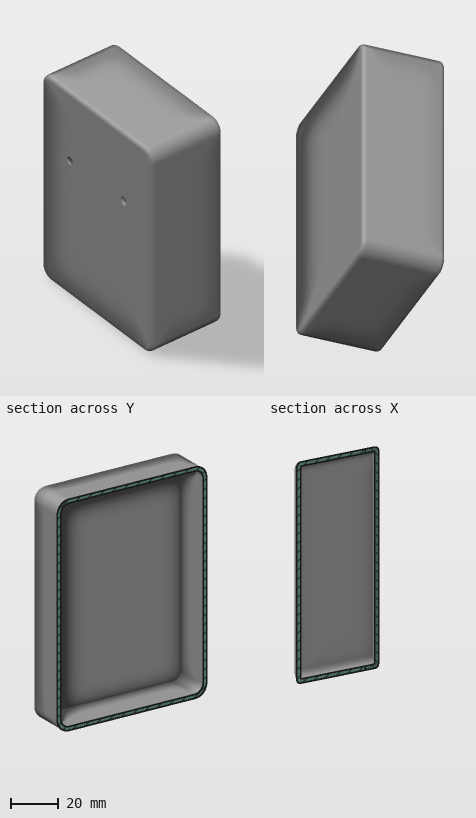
import cadquery as cq

WIDTH = 75.0
DEPTH = 37.5
HEIGHT = 105.0

WALL = 2.0
CORNER_RADIUS = 3 * WALL
EDGE_RADIUS = WALL
LID_DEPTH = 3 * WALL
HOUSING_DEPTH = DEPTH - LID_DEPTH

HOLE_DIAMETER = 4.0
HOLE_SPACING = 36.5
HOLE_HEIGHT = 17.2

FRONT_Y = -DEPTH / 2
LID_FRONT_Y = FRONT_Y + HOUSING_DEPTH


def rounded_block(front_y, depth, inset=0.0):
    """Block with rounded outline corners, inset from the case outline, running from front_y toward +Y."""
    return (
        cq.Workplane("XZ", origin=(0, front_y, 0))
        .rect(WIDTH - 2 * inset, HEIGHT - 2 * inset)
        .extrude(-depth)
        .edges("|Y")
        .fillet(CORNER_RADIUS - inset)
    )


def make_housing():
    """Front shell, open toward the lid, with two holes through its front wall."""
    outside = rounded_block(FRONT_Y, HOUSING_DEPTH).faces("<Y").edges().fillet(EDGE_RADIUS)
    cavity = rounded_block(FRONT_Y + WALL, HOUSING_DEPTH - WALL, inset=WALL)
    holes = (
        cq.Workplane("XZ", origin=(0, FRONT_Y, HOLE_HEIGHT))
        .pushPoints([(-HOLE_SPACING / 2, 0), (HOLE_SPACING / 2, 0)])
        .circle(HOLE_DIAMETER / 2)
        .extrude(-WALL)
    )
    return outside.cut(cavity).cut(holes)


def make_lid():
    """Back shell that closes the housing, open toward the front."""
    outside = rounded_block(LID_FRONT_Y, LID_DEPTH).faces(">Y").edges().fillet(EDGE_RADIUS)
    cavity = rounded_block(LID_FRONT_Y, LID_DEPTH - WALL, inset=WALL)
    return outside.cut(cavity)


housing = make_housing()
lid = make_lid()

result = cq.Compound.makeCompound([housing.val(), lid.val()])